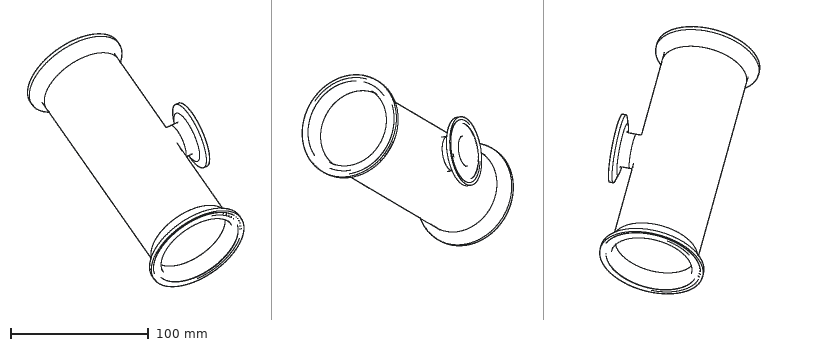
import cadquery as cq
import math

overall_length = 184.2
tube_diameter = 63.5
wall = 1.7

branch_diameter = 25.5
branch_reach = 47.5
saddle_fillet = 1.1

tube_flange_diameter = 77.4
branch_flange_diameter = 50.5
ferrule_length = 12.7
rim_thickness = 2.8
flange_thickness = 5.0
taper_angle = 20.0
neck_fillet = 1.75
mouth_fillet = 1.0

groove_inset = 3.4
groove_width = 2.8
groove_depth = 1.3
groove_lip_fillet = 0.5

tube_radius = tube_diameter / 2
tube_bore_radius = tube_radius - wall
branch_radius = branch_diameter / 2
branch_bore_radius = branch_radius - wall
tube_length = overall_length - 2 * ferrule_length
outlet_end = branch_reach - ferrule_length

TOLERANCE = 0.0002


def fillet_ring(solid, x, ring_radius, fillet_radius):
    """Round the circular edge about X that has the given position and radius."""
    rings = [
        edge for edge in solid.Edges()
        if edge.geomType() == "CIRCLE"
        and abs(edge.arcCenter().x - x) < TOLERANCE
        and abs(edge.radius() - ring_radius) < TOLERANCE
    ]
    return solid.fillet(fillet_radius, rings).Solids()[0]


def make_ferrule(pipe_radius, flange_diameter):
    """Ferrule turned about X: sealing face at x = 0, neck running towards +X."""
    bore_radius = pipe_radius - wall
    rim_radius = flange_diameter / 2
    groove_middle = rim_radius - groove_inset
    groove_inner = groove_middle - groove_width / 2
    groove_outer = groove_middle + groove_width / 2

    taper_slope = math.tan(math.radians(taper_angle))
    full_taper_radius = rim_radius - (flange_thickness - rim_thickness) / taper_slope
    reaches_neck = full_taper_radius - pipe_radius < neck_fillet
    taper_end_radius = pipe_radius if reaches_neck else full_taper_radius
    taper_end_x = rim_thickness + (rim_radius - taper_end_radius) * taper_slope

    section = (
        cq.Workplane("XY")
        .moveTo(0, bore_radius)
        .lineTo(0, groove_inner)
        .threePointArc((groove_depth, groove_middle), (0, groove_outer))
        .lineTo(0, rim_radius)
        .lineTo(rim_thickness, rim_radius)
        .lineTo(taper_end_x, taper_end_radius)
    )
    if not reaches_neck:
        section = section.lineTo(taper_end_x, pipe_radius)
    section = section.lineTo(ferrule_length, pipe_radius).lineTo(ferrule_length, bore_radius).close()

    ferrule = section.revolve(360, (0, 0, 0), (1, 0, 0)).val()
    ferrule = fillet_ring(ferrule, taper_end_x, pipe_radius, neck_fillet)
    ferrule = fillet_ring(ferrule, 0, bore_radius, mouth_fillet)
    for lip_radius in (groove_inner, groove_outer):
        ferrule = fillet_ring(ferrule, 0, lip_radius, groove_lip_fillet)
    return ferrule


def make_tee():
    """Main tube with its short branch outlet, bored through into one another."""
    outer = cq.Workplane("YZ").circle(tube_radius).extrude(tube_length / 2, both=True)
    outlet = cq.Workplane("XZ").circle(branch_radius).extrude(-outlet_end)
    outer = outer.union(outlet)

    saddle_box = cq.selectors.BoxSelector(
        (-branch_diameter, 0, -branch_diameter),
        (branch_diameter, tube_radius + TOLERANCE, branch_diameter),
        boundingbox=True,
    )
    outer = outer.edges(saddle_box).fillet(saddle_fillet)

    tube_bore = cq.Workplane("YZ").circle(tube_bore_radius).extrude(tube_length / 2, both=True)
    outlet_bore = cq.Workplane("XZ").circle(branch_bore_radius).extrude(-outlet_end)
    return outer.cut(tube_bore).cut(outlet_bore).val().Solids()[0]


def make_tube_ferrules():
    """Matching ferrules on both ends of the main tube, faces outward."""
    ferrule = make_ferrule(tube_radius, tube_flange_diameter)
    ferrules = []
    for turn in (0, 180):
        placed = ferrule.translate(cq.Vector(-overall_length / 2, 0, 0))
        ferrules.append(placed.rotate(cq.Vector(0, 0, 0), cq.Vector(0, 0, 1), turn))
    return ferrules


def make_branch_ferrule():
    """Smaller ferrule on the branch outlet, facing +Y."""
    ferrule = make_ferrule(branch_radius, branch_flange_diameter)
    placed = ferrule.translate(cq.Vector(-branch_reach, 0, 0))
    return placed.rotate(cq.Vector(0, 0, 0), cq.Vector(0, 0, 1), -90)


tee = make_tee()
tube_ferrules = make_tube_ferrules()
branch_ferrule = make_branch_ferrule()

result = cq.Compound.makeCompound([tee, *tube_ferrules, branch_ferrule])